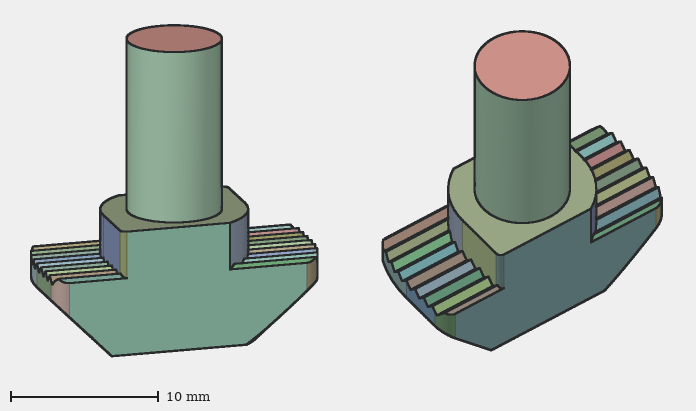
import cadquery as cq
import math

width = 8.5
total_height = 20.7
stud_diameter = 6.45

neck_radius = 5.0
neck_top = 8.7
neck_corner_radius = 0.4

head_length = 19.4
head_radius = head_length / 2
flank_height = 4.0
head_base_radius = head_radius - flank_height
head_corner_radius = 1.0

crest_height = 5.7
tooth_depth = 0.5
tooth_pitch = 2 * tooth_depth
grooves_per_side = math.ceil(width / 2 / tooth_pitch)


def turning_block(radius, bottom, top):
    """Prism with two opposite square corners and two corners rounded about the Z axis."""
    half_width = width / 2
    side_y = math.sqrt(radius**2 - half_width**2)
    half_angle = math.asin(half_width / radius) / 2
    mid_x = radius * math.sin(half_angle)
    mid_y = radius * math.cos(half_angle)
    return (
        cq.Workplane("XY", origin=(0, 0, bottom))
        .moveTo(0, -radius)
        .lineTo(half_width, -radius)
        .lineTo(half_width, side_y)
        .threePointArc((mid_x, mid_y), (0, radius))
        .lineTo(-half_width, radius)
        .lineTo(-half_width, -side_y)
        .threePointArc((-mid_x, -mid_y), (0, -radius))
        .close()
        .extrude(top - bottom)
    )


def fillet_opposite_corners(block, direction, radius):
    """Round the two vertical edges farthest apart along a diagonal direction."""
    for side in (">", "<"):
        block = block.edges("|Z").edges(side + direction).fillet(radius)
    return block


def flank_envelope():
    """Conical flanks at the two round corners and flat flanks at the two square ones."""
    half_profile = [
        (0, 0),
        (head_base_radius, 0),
        (head_radius, flank_height),
        (head_radius, crest_height),
        (0, crest_height),
    ]
    envelope = cq.Workplane("XZ").polyline(half_profile).close().revolve(360, (0, 0), (0, 1))
    flat_flank = (
        cq.Workplane("YZ")
        .polyline([(-y, z) for y, z in half_profile])
        .close()
        .extrude(width / 2)
    )
    opposite_flank = flat_flank.rotate((0, 0, 0), (0, 0, 1), 180)
    return envelope.union(flat_flank).union(opposite_flank)


def serration_grooves():
    """V-grooves cut along the full head length, between neighbouring crests."""
    grooves = cq.Workplane("XZ", origin=(0, head_radius, 0))
    for index in range(-grooves_per_side, grooves_per_side):
        left_crest = index * tooth_pitch
        grooves = (
            grooves.moveTo(left_crest, crest_height)
            .lineTo(left_crest + tooth_pitch / 2, crest_height - tooth_depth)
            .lineTo(left_crest + tooth_pitch, crest_height)
            .close()
        )
    return grooves.extrude(head_length)


head = turning_block(head_radius, 0, crest_height)
head = fillet_opposite_corners(head, "(1, 1, 0)", head_corner_radius)
head = fillet_opposite_corners(head, "(1, -1, 0)", head_corner_radius)
head = head.intersect(flank_envelope()).cut(serration_grooves())

neck = turning_block(neck_radius, flank_height, neck_top)
neck = fillet_opposite_corners(neck, "(1, -1, 0)", neck_corner_radius)

stud = (
    cq.Workplane("XY", origin=(0, 0, neck_top))
    .circle(stud_diameter / 2)
    .extrude(total_height - neck_top)
)

result = head.union(neck).union(stud)